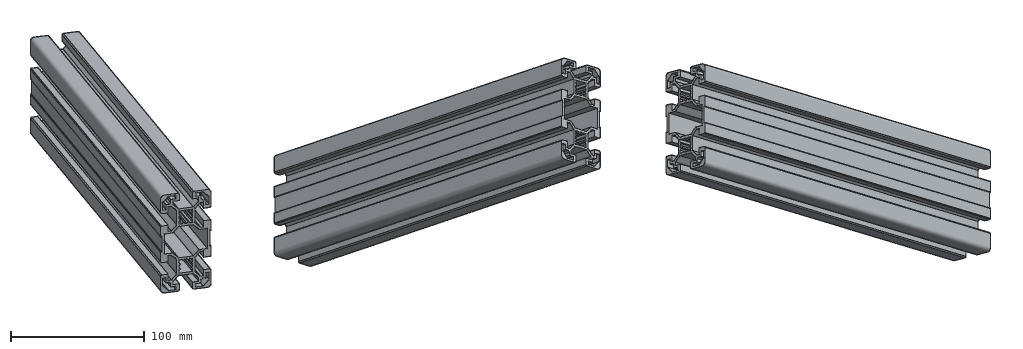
import cadquery as cq
import math

LENGTH = 315.0
WIDTH = 40.0
HEIGHT = 2 * WIDTH
MODULE_HALF = WIDTH / 2

SLOT_HALF = 5.0
LIP_DEPTH = 6.0
CORNER_LIP_CHAMFER = 1.0
MIDDLE_LIP_CHAMFER = 0.5
SLOT_INNER_HALF = 10.0
SLOT_CEILING = MODULE_HALF - LIP_DEPTH

CORE_HALF = 7.2
CORE_WALL = 2.0
BORE_HALF = CORE_HALF - CORE_WALL
RIDGE_OFFSET = 2.0
RIDGE_WIDTH = 2.5
RIDGE_HEIGHT = 1.0

WEB_THICKNESS = 2.05
WEB_SKEW = WEB_THICKNESS / math.sqrt(2)

CORNER_RADIUS = 3.0
CORNER_WALL = 1.5
POCKET_OUTER = MODULE_HALF - CORNER_WALL
POCKET_INNER = 8.0
POCKET_BEVEL = 4.7
POCKET_SHELF = 15.8
POCKET_STEP = 12.0
POCKET_STEP_CHAMFER = 1.3

CHAMBER_HALF_WIDTH = 17.0
CHAMBER_SHOULDER = 8.2
RECESS_HALF = 6.3
RECESS_DEPTH = 1.0

LEFT = -1
RIGHT = 1


def extrude_outline(points):
    """Extrude a closed (y, z) outline over the full length."""
    return cq.Workplane("YZ").polyline(points).close().extrude(LENGTH)


def box(half_width, half_height):
    """Full-length bar centred on the X axis."""
    return cq.Workplane("YZ").rect(2 * half_width, 2 * half_height).extrude(LENGTH)


def slot_side(chamfer):
    """Profile of one slot wall, from the mouth down to the core."""
    return [
        (SLOT_HALF + chamfer, MODULE_HALF),
        (SLOT_HALF, MODULE_HALF - chamfer),
        (SLOT_HALF, SLOT_CEILING),
        (SLOT_INNER_HALF, SLOT_CEILING),
        (SLOT_INNER_HALF, SLOT_INNER_HALF + WEB_SKEW),
        (CORE_HALF - WEB_SKEW, CORE_HALF),
    ]


def t_slot(positive_side, negative_side):
    """Slot space opening upward from a module centre at the origin."""
    mirrored = [(-y, z) for y, z in reversed(negative_side)]
    return extrude_outline(positive_side + mirrored)


def corner_pocket():
    """Hollow of the corner at +Y +Z of a module; it is symmetric about the diagonal."""
    half = [
        (POCKET_OUTER - POCKET_BEVEL, POCKET_OUTER),
        (POCKET_INNER, POCKET_OUTER),
        (POCKET_INNER, POCKET_SHELF),
        (POCKET_STEP, POCKET_SHELF),
        (POCKET_STEP, POCKET_STEP + POCKET_STEP_CHAMFER),
    ]
    mirrored = [(z, y) for y, z in reversed(half)]
    return extrude_outline(half + mirrored)


def ridges():
    """Ridge pair on the floor of a core bore."""
    left, right = [
        extrude_outline([
            (y - RIDGE_WIDTH / 2, -BORE_HALF),
            (y + RIDGE_WIDTH / 2, -BORE_HALF),
            (y, -BORE_HALF + RIDGE_HEIGHT),
        ])
        for y in (-RIDGE_OFFSET, RIDGE_OFFSET)
    ]
    return left.union(right)


def core_bore():
    """Square bore with ridges on both side walls and on the floor."""
    bore = box(BORE_HALF, BORE_HALF)
    for angle in (-90, 0, 90):
        bore = bore.cut(ridges().rotate((0, 0, 0), (1, 0, 0), angle))
    return bore


def module_voids():
    """All spaces cut from the upper module, placed at its height."""
    axis = ((0, 0, 0), (1, 0, 0))
    outer_side = slot_side(CORNER_LIP_CHAMFER)
    inner_side = slot_side(MIDDLE_LIP_CHAMFER)
    top_slot = t_slot(outer_side, outer_side)
    left_slot = t_slot(outer_side, inner_side).rotate(*axis, 90)
    voids = [
        top_slot,
        left_slot,
        left_slot.mirror("XZ"),
        corner_pocket(),
        corner_pocket().mirror("XZ"),
        core_bore(),
    ]
    return [void.translate((0, 0, MODULE_HALF)) for void in voids]


def middle_chamber():
    """Space between the two cores, bounded by the webs and the side walls."""
    core_face = MODULE_HALF - CORE_HALF
    shoulder_y = MODULE_HALF - CHAMBER_SHOULDER - WEB_SKEW
    quarter = [
        (CORE_HALF - WEB_SKEW, core_face),
        (shoulder_y, CHAMBER_SHOULDER),
        (CHAMBER_HALF_WIDTH, CHAMBER_SHOULDER),
    ]
    right = quarter + [(y, -z) for y, z in reversed(quarter)]
    left = [(-y, -z) for y, z in right]
    return extrude_outline(right + left)


body = box(WIDTH / 2, HEIGHT / 2).edges("|X").fillet(CORNER_RADIUS)
for void in module_voids():
    body = body.cut(void).cut(void.mirror("XY"))
body = body.cut(middle_chamber())

recess = box(RECESS_DEPTH, RECESS_HALF)
for side in (LEFT, RIGHT):
    body = body.cut(recess.translate((0, side * WIDTH / 2, 0)))

result = body.translate((-LENGTH / 2, 0, 0))